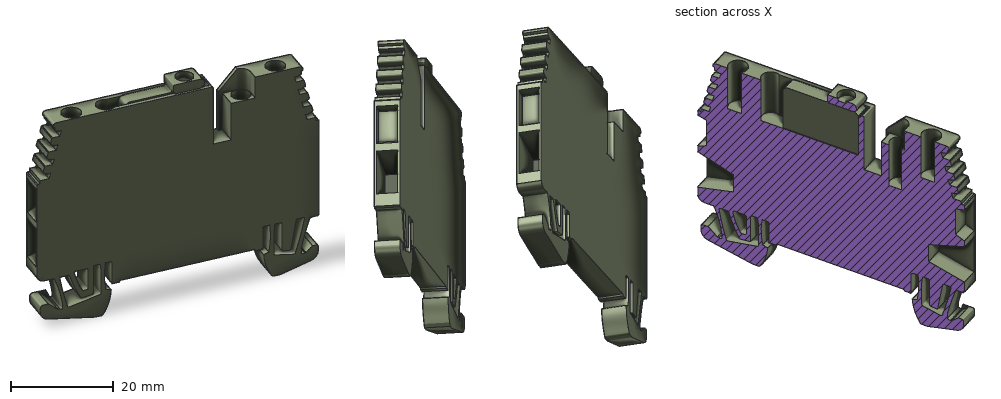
import cadquery as cq


thickness = 5.1
length = 60.0
total_height = 48.45
half_thickness = thickness / 2
half_length = length / 2

top_z = 46.25
shoulder_z = 33.2
shoulder_chamfer = 0.2
end_bottom_z = 11.75
minus_end_bottom_z = 12.1
deck_z = 7.05
pad_z = 6.7
leg_root_z = 11.8

rib_count = 3
rib_pitch = 3.03
rib_step_out = 0.77
rib_top_y, rib_top_z = 26.85, 43.0
rib_top_chamfer = 0.15
rib_face_reach, rib_face_drop = 0.22, 1.0
rib_nose_reach, rib_nose_drop = 0.2, 1.45
rib_under_in, rib_under_drop = 0.05, 1.6
valley_in, valley_drop = 0.7, 1.9
valley_floor_in = 0.35
groove_side_wall = 0.5
groove_extra_depth = 0.6
grip_inner_y = 24.0
step_y = 29.3
lip_flat_y = 25.8
lip_round_middle = (26.4, 46.0)
lip_tip_y, lip_tip_z = 26.6, 45.45
lip_neck_y, lip_neck_top_z, lip_neck_bottom_z = 26.2, 45.1, 44.55

slot_y_min, slot_y_max = 7.5, 10.45
slot_chamfer_width, slot_chamfer_height = 4.0, 4.25
slot_corner_radius = 0.4
notch_wall = 0.9
notch_y_max = 16.4
ledge_y_min = 11.3
ledge_z = 41.5

outer_shaft_y, outer_shaft_x, outer_shaft_diameter = 21.7, 0.25, 4.05
inner_shaft_y, inner_shaft_x, inner_shaft_diameter = 14.4, 0.2, 3.9
shaft_depth = 10.0

lever_width = 3.05
lever_gap = 0.2
lever_y_min, lever_y_max = -10.9, 6.1
lever_top_z = 46.45
lever_tip_radius = 1.3
groove_ramp_y, groove_ramp_drop = 6.95, 0.9
knob_width = 4.55
knob_y_min, knob_y_max = -0.85, 5.8
knob_bottom_z = 46.4
knob_round = 1.1
knob_underside_round = 0.95
knob_small_edge = 0.35
knob_fillet_run = 0.5
knob_hole_y, knob_hole_diameter = 2.47, 3.65
knob_hole_floor_z = 46.9
knob_hole_flat_min, knob_hole_flat_max = -1.0, 0.9
knob_hole_low_rise, knob_hole_high_rise = 0.15, 1.3

entry_width = 4.2
upper_entry = (24.4, 31.95, 25.25, 31.4, 2.0)
lower_entry = (14.25, 22.9, 16.2, 20.3, 8.0)

window_corner_radius = 0.3
foot_side_strip = 0.35


def prism(outline, x_min=-half_thickness, x_max=half_thickness):
    """Extrude a closed wire or a list of (y, z) points from x_min to x_max."""
    if isinstance(outline, list):
        outline = cq.Workplane("YZ").polyline(outline).close()
    return outline.extrude(x_max - x_min).translate((x_min, 0, 0))


def box(x_range, y_range, z_range):
    """Axis-aligned box given by its limits."""
    sizes = [high - low for low, high in (x_range, y_range, z_range)]
    corner = (x_range[0], y_range[0], z_range[0])
    return cq.Workplane("XY").box(*sizes, centered=False).translate(corner)


def shaft(x, y, diameter, z_top, depth):
    """Vertical cylinder reaching down from z_top."""
    return cq.Workplane("XY", origin=(x, y, z_top - depth)).circle(diameter / 2).extrude(depth)


def rib_root(index):
    """Inner reference point (y, z) of a rib top edge on the +Y end, counted downwards."""
    return rib_top_y + index * rib_step_out, rib_top_z - index * rib_pitch


def valley(index):
    """Upper and lower corner of the valley under the given rib."""
    y, z = rib_root(index)
    return (y - valley_in, z - valley_drop), (y - valley_floor_in, z - rib_pitch)


def ribbed_grips():
    """Ribbed finger grips above the shoulders, the same on both ends."""
    base_z = rib_root(rib_count)[1]
    outline = (
        cq.Workplane("YZ").moveTo(grip_inner_y, shoulder_z)
        .lineTo(step_y, shoulder_z)
        .lineTo(step_y, base_z)
    )
    for index in reversed(range(rib_count)):
        y, z = rib_root(index)
        valley_top, valley_bottom = valley(index)
        outline = (
            outline.lineTo(*valley_bottom)
            .lineTo(*valley_top)
            .lineTo(y - rib_under_in, z - rib_under_drop)
            .threePointArc(
                (y + rib_nose_reach, z - rib_nose_drop), (y + rib_face_reach, z - rib_face_drop)
            )
            .lineTo(y, z - rib_top_chamfer)
            .lineTo(y - rib_top_chamfer, z)
        )
    lip_valley_top, lip_valley_bottom = valley(-1)
    outline = (
        outline.lineTo(*lip_valley_bottom)
        .lineTo(*lip_valley_top)
        .lineTo(lip_neck_y, lip_neck_bottom_z)
        .lineTo(lip_neck_y, lip_neck_top_z)
        .lineTo(lip_tip_y, lip_tip_z)
        .threePointArc(lip_round_middle, (lip_flat_y, top_z))
        .lineTo(grip_inner_y, top_z)
        .close()
    )
    grip = prism(outline)
    return grip.union(grip.mirror("XZ"))


def housing_outline():
    """Outer profile of the plain housing, marker slot, spring legs and latch feet, seen along X."""
    outline = (
        cq.Workplane("YZ").moveTo(half_length, end_bottom_z)
        .lineTo(half_length, shoulder_z - shoulder_chamfer)
        .lineTo(half_length - shoulder_chamfer, shoulder_z)
        .lineTo(grip_inner_y, shoulder_z)
        .lineTo(grip_inner_y, top_z)
    )
    outline = (
        outline.lineTo(slot_y_max + slot_chamfer_width, top_z)
        .lineTo(slot_y_max, top_z - slot_chamfer_height)
        .lineTo(slot_y_max, shoulder_z)
        .lineTo(slot_y_min, shoulder_z)
        .lineTo(slot_y_min, top_z - slot_corner_radius)
        .radiusArc((slot_y_min - slot_corner_radius, top_z), -slot_corner_radius)
    )
    outline = (
        outline.lineTo(-grip_inner_y, top_z)
        .lineTo(-grip_inner_y, shoulder_z)
        .lineTo(shoulder_chamfer - half_length, shoulder_z)
        .lineTo(-half_length, shoulder_z - shoulder_chamfer)
    )
    outline = (
        outline.lineTo(-half_length, minus_end_bottom_z)
        .threePointArc((-29.4, 11.25), (-28.35, 10.9))
        .lineTo(-26.45, 10.9)
        .lineTo(-26.2, 10.55)
        .threePointArc((-25.45, 8.6), (-24.57, 4.65))
        .lineTo(-24.57, 3.9)
        .threePointArc((-24.85, 3.6), (-25.15, 3.75))
        .lineTo(-25.95, 5.45)
        .lineTo(-28.4, 5.45)
        .threePointArc((-29.1, 5.25), (-29.3, 4.75))
        .lineTo(-29.3, 4.0)
        .threePointArc((-28.85, 2.75), (-27.6, 2.0))
        .lineTo(-17.65, 0)
        .lineTo(-16.15, 0)
        .lineTo(-15.65, 0.6)
        .threePointArc((-14.75, 2.5), (-14.2, 5.35))
        .lineTo(-15.33, 5.75)
        .threePointArc((-15.65, 9.4), (-15.45, leg_root_z))
        .lineTo(-14.3, leg_root_z)
        .lineTo(-14.0, leg_root_z - 0.3)
    )
    outline = (
        outline.lineTo(-14.0, pad_z)
        .lineTo(-12.5, pad_z)
        .lineTo(-12.3, deck_z)
        .lineTo(16.3, deck_z)
        .lineTo(16.5, pad_z)
        .lineTo(17.85, pad_z)
        .lineTo(18.05, pad_z + 0.2)
        .lineTo(18.05, leg_root_z - 0.3)
        .lineTo(18.35, leg_root_z)
        .lineTo(19.5, leg_root_z)
    )
    outline = (
        outline.threePointArc((19.65, 9.4), (19.3, 5.75))
        .lineTo(18.2, 5.4)
        .threePointArc((18.8, 2.5), (19.75, 0.6))
        .threePointArc((19.98, 0.2), (20.4, 0))
        .lineTo(21.7, 0)
        .lineTo(28.4, 1.65)
        .threePointArc((29.45, 2.45), (29.85, 3.7))
        .lineTo(29.85, 4.4)
        .threePointArc((29.7, 4.75), (29.35, 4.9))
        .lineTo(27.3, 4.9)
        .lineTo(27.1, 3.9)
        .threePointArc((26.65, 3.6), (26.2, 3.9))
        .lineTo(26.2, 5.0)
        .threePointArc((27.1, 8.4), (27.9, 10.9))
        .threePointArc((28.05, 11.25), (28.4, 11.45))
        .lineTo(29.65, 11.45)
        .close()
    )
    return outline


def leg_windows():
    """Openings that separate the spring legs from the housing."""
    plus_window = (
        cq.Workplane("YZ").moveTo(26.95, leg_root_z)
        .lineTo(25.15, leg_root_z)
        .lineTo(23.95, 5.05)
        .lineTo(22.05, 5.3)
        .lineTo(22.05, leg_root_z)
        .lineTo(20.6, leg_root_z)
        .lineTo(20.42, 10.4)
        .lineTo(20.42, 4.8)
        .lineTo(24.85, 3.9)
        .threePointArc((26.1, 8.1), (26.95, leg_root_z))
        .close()
    )
    minus_window = (
        cq.Workplane("YZ").moveTo(-16.6, leg_root_z)
        .lineTo(-18.0, leg_root_z)
        .lineTo(-18.0, 5.35)
        .lineTo(-20.6, 5.05)
        .threePointArc((-22.0, 7.9), (-23.1, 10.9))
        .lineTo(-25.15, 10.9)
        .threePointArc((-24.5, 7.6), (-23.4, 3.6))
        .lineTo(-16.35, 4.95)
        .lineTo(-16.35, 10.4)
        .close()
    )
    web_window = (
        cq.Workplane("YZ").moveTo(-19.1, 11.45)
        .lineTo(-22.1, 11.45)
        .threePointArc((-21.35, 8.9), (-20.25, pad_z))
        .lineTo(-19.1, pad_z)
        .close()
    )
    cutters = cq.Workplane("YZ")
    for window in (plus_window, minus_window, web_window):
        cutters = cutters.add(prism(window).edges("|X").fillet(window_corner_radius))
    return cutters.combine()


def deep_grooves():
    """Extra depth of the grip valleys behind the side strip, for both ends."""
    cutters = cq.Workplane("YZ")
    for index in range(-1, rib_count):
        (top_y, valley_z), (floor_y, floor_z) = valley(index)
        section = [
            (top_y, valley_z),
            (top_y - groove_extra_depth, valley_z),
            (floor_y - groove_extra_depth, floor_z),
            (floor_y, floor_z),
        ]
        groove = prism(section, x_min=-half_thickness + groove_side_wall)
        cutters = cutters.add(groove).add(groove.mirror("XZ"))
    return cutters.combine()


def release_notches():
    """Ramps for a tool on top of the feet, next to the legs, behind the side strip."""
    minus_ramp = [(-24.9, 3.7), (-25.5, 3.7), (-27.6, 5.45), (-25.9, 5.45)]
    plus_ramp = [(26.6, 3.7), (27.2, 3.7), (28.6, 4.9), (27.2, 4.9)]
    x_min = foot_side_strip - half_thickness
    return prism(minus_ramp, x_min).union(prism(plus_ramp, x_min))


def marker_notch():
    """Stepped notch beside the slot, open to +X, with a round corner at its end wall."""
    inner_x = notch_wall - half_thickness
    upper = box((inner_x, half_thickness), (slot_y_min, notch_y_max), (ledge_z, top_z))
    upper = upper.edges("|Z and <X and >Y").fillet(inner_shaft_diameter / 2)
    lower = box((inner_x, half_thickness), (slot_y_min, ledge_y_min), (shoulder_z, ledge_z))
    return upper.union(lower)


def wire_entry(mouth_bottom, mouth_top, back_bottom, back_top, depth):
    """Tapered wire pocket in both end faces."""
    section = [
        (-half_length, mouth_bottom),
        (-half_length, mouth_top),
        (depth - half_length, back_top),
        (depth - half_length, back_bottom),
    ]
    pocket = prism(section, -entry_width / 2, entry_width / 2)
    return pocket.union(pocket.mirror("XZ"))


def screw_shafts():
    """Two outer and two inner shafts; the +Y inner one starts from the notch ledge."""
    cutters = shaft(inner_shaft_x, inner_shaft_y, inner_shaft_diameter, ledge_z, shaft_depth)
    cutters = cutters.union(shaft(inner_shaft_x, -inner_shaft_y, inner_shaft_diameter, top_z, shaft_depth))
    for y in (-outer_shaft_y, outer_shaft_y):
        cutters = cutters.union(shaft(outer_shaft_x, y, outer_shaft_diameter, top_z, shaft_depth))
    return cutters


def lever_groove():
    """Groove in the top from the inner -Y shaft to a steep ramp near the slot."""
    floor_z = top_z - shaft_depth
    section = [(-inner_shaft_y, top_z), (-inner_shaft_y, floor_z), (lever_y_max, floor_z)]
    section += [(lever_y_max, top_z - groove_ramp_drop), (groove_ramp_y, top_z)]
    return prism(section, -lever_width / 2, lever_width / 2 + lever_gap)


def lever():
    """Lever bar with a rounded tip and a concave run-up to the knob."""
    floor_z = top_z - shaft_depth
    run_up_y = knob_y_min - knob_fillet_run
    section = (
        cq.Workplane("YZ").moveTo(lever_y_min, floor_z)
        .lineTo(lever_y_min, lever_top_z - lever_tip_radius)
        .radiusArc((lever_y_min + lever_tip_radius, lever_top_z), lever_tip_radius)
        .lineTo(run_up_y, lever_top_z)
        .radiusArc((knob_y_min, lever_top_z + knob_fillet_run), -knob_fillet_run)
        .lineTo(knob_y_max - knob_round, lever_top_z + knob_fillet_run)
        .lineTo(lever_y_max, top_z - knob_fillet_run)
        .lineTo(lever_y_max, floor_z)
        .close()
    )
    return prism(section, -lever_width / 2, lever_width / 2)


def knob():
    """Raised block on the lever, rounded on its +Y end."""
    section = (
        cq.Workplane("YZ").moveTo(knob_y_min, knob_bottom_z + knob_small_edge)
        .lineTo(knob_y_min, total_height - knob_small_edge)
        .radiusArc((knob_y_min + knob_small_edge, total_height), knob_small_edge)
        .lineTo(knob_y_max - knob_round, total_height)
        .radiusArc((knob_y_max, total_height - knob_round), knob_round)
        .radiusArc((knob_y_max - knob_underside_round, knob_bottom_z), knob_round)
        .lineTo(knob_y_min + knob_small_edge, knob_bottom_z)
        .close()
    )
    return prism(section, -knob_width / 2, knob_width / 2)


def knob_hole():
    """Blind round hole whose floor rises towards both sides."""
    radius = knob_hole_diameter / 2
    floor_profile = [
        (-radius, total_height),
        (-radius, knob_hole_floor_z + knob_hole_low_rise),
        (knob_hole_flat_min, knob_hole_floor_z),
        (knob_hole_flat_max, knob_hole_floor_z),
        (radius, knob_hole_floor_z + knob_hole_high_rise),
        (radius, total_height),
    ]
    cavity = cq.Workplane("XZ", origin=(0, knob_hole_y, 0)).polyline(floor_profile).close()
    cavity = cavity.extrude(radius, both=True)
    depth = total_height - knob_hole_floor_z
    return shaft(0, knob_hole_y, knob_hole_diameter, total_height, depth).intersect(cavity)


housing = prism(housing_outline()).union(ribbed_grips())
housing = housing.cut(leg_windows()).cut(deep_grooves()).cut(marker_notch())
housing = housing.cut(release_notches())
housing = housing.cut(wire_entry(*upper_entry)).cut(wire_entry(*lower_entry))
housing = housing.cut(lever_groove()).cut(screw_shafts())
result = housing.union(lever()).union(knob()).cut(knob_hole())